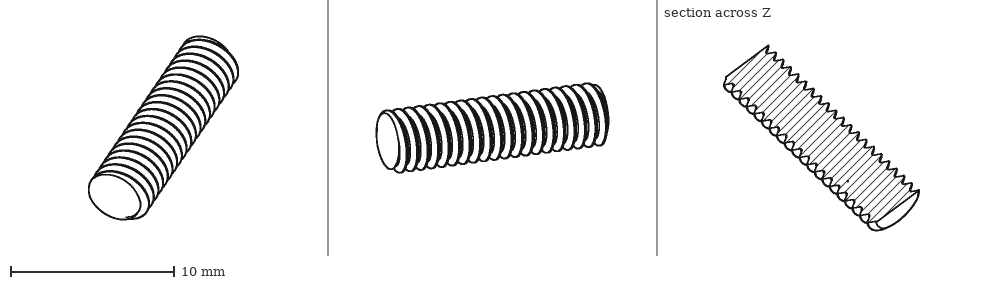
import cadquery as cq
import math

length = 14.0
major_radius = 1.953
pitch = 0.7
flank_angle = 30.0
crest_flat = pitch / 8
root_flat = pitch / 6
root_overlap = 0.03
turn_count = round(length / pitch)
overrun_turns = 1

flank_slope = math.tan(math.radians(flank_angle))
thread_depth = (pitch - crest_flat - root_flat) / 2 / flank_slope
minor_radius = major_radius - thread_depth


def make_ridge(turns):
    """Helical ridge along +Z whose crest centre starts on the +X side at Z = 0."""
    base_radius = minor_radius - root_overlap
    half_crest = crest_flat / 2
    half_base = half_crest + (major_radius - base_radius) * flank_slope
    corners = [
        (base_radius, -half_base),
        (major_radius, -half_crest),
        (major_radius, half_crest),
        (base_radius, half_base),
    ]
    helices = [
        cq.Wire.makeHelix(pitch, pitch, radius).translate(cq.Vector(0, 0, height))
        for radius, height in corners
    ]
    turn_faces = [
        cq.Face.makeRuledSurface(helices[i - 1], helices[i])
        for i in range(len(helices))
    ]
    sides = [
        face.translate(cq.Vector(0, 0, turn * pitch))
        for turn in range(turns)
        for face in turn_faces
    ]
    start_points = [cq.Vector(radius, 0, height) for radius, height in corners]
    start_cap = cq.Face.makeFromWires(cq.Wire.makePolygon(start_points, close=True))
    end_cap = start_cap.translate(cq.Vector(0, 0, turns * pitch))
    shell = cq.Shell.makeShell(sides + [start_cap, end_cap])
    return cq.Workplane(obj=cq.Solid.makeSolid(shell))


def make_rod():
    """Threaded rod along +Z, starting at Z = 0."""
    ridge = make_ridge(turn_count + 2 * overrun_turns)
    ridge = ridge.translate((0, 0, -overrun_turns * pitch))
    envelope = cq.Workplane("XY").circle(2 * major_radius).extrude(length)
    core = cq.Workplane("XY").circle(minor_radius).extrude(length)
    return core.union(ridge.intersect(envelope))


result = (
    make_rod()
    .rotate((0, 0, 0), (0, 0, 1), 180)
    .rotate((0, 0, 0), (1, 0, 0), -90)
    .translate((0, -length / 2, 0))
)